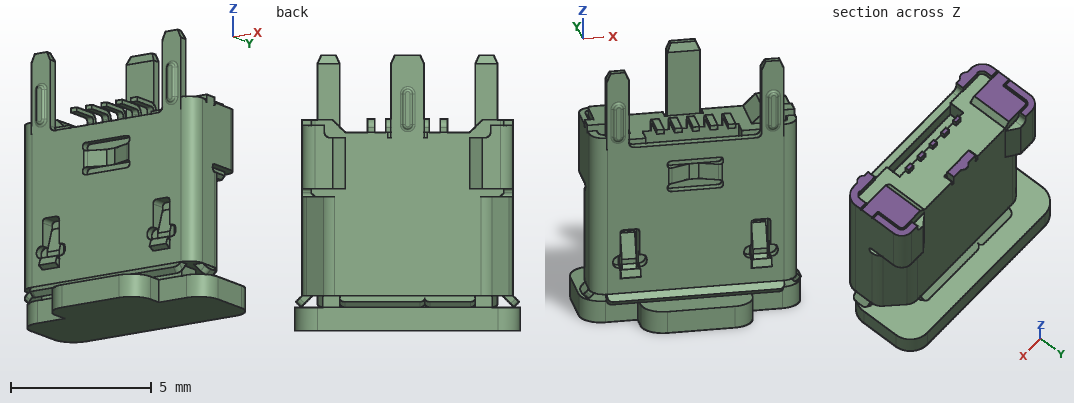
import cadquery as cq
import math


BASE_WIDTH = 8.0
BASE_HEIGHT = 0.83
BASE_BACK = 3.455
BASE_FRONT = 0.355
BASE_CORNER = 0.8
LIP_WIDTH = 4.04
LIP_FRONT = -0.995

FRONT_POST = (3.0, 0.36, 1.24)
BACK_POST = (2.4, 1.59, 2.13)

WALL = 0.325
FRONT_WALL = 0.3
HALF_WIDTH = 3.745
SHELL_BOTTOM = 1.24
SLOT_BOTTOM = 4.75
SHELL_STEP = 5.03
SHELL_TOP = 7.29
LOWER_BACK = 2.46
UPPER_BACK = 2.785
FRONT_CORNER = 0.55
BACK_CORNER = 0.455
BEVEL_START = 1.54
JOG_OUTER = 2.66
JOG_INNER = 2.2
SLOT_FRONT = 1.21
SLOT_ROUND = 0.12
EDGE_CHAMFER = 0.1
RIM_SLOPE = 0.095

NOTCH_FLOOR = 6.85
NOTCH_ROUND = 0.2
FRONT_NOTCH_HALF = 2.4
BACK_NOTCH_HALF = 2.95

DECK = 7.04
BOSS_TOP = 7.48
BOSS_FRONT = 0.83
LUG_BACK = 1.33
RECESS_HALF = 1.735
RECESS_DEPTH = 0.8
TAB_POCKET_HALF = 0.695
TAB_POCKET_FRONT = 2.095
TAB_POCKET_DEPTH = 0.2

TAB_TOP = 9.78
TAB_TAPER = 0.31
TAB_EDGE_INSET = 0.14
TAB_FACE_INSET = 0.11
SIDE_TAB_WIDTH = 0.8
SIDE_TAB_X = 2.8
BACK_TAB_WIDTH = 1.185

RIB_WIDTH = 0.52
RIB_LENGTH = 1.6
RIB_Z = 7.87
RIB_HEIGHT = 0.1
RIB_CREST_WIDTH = 0.17

CONTACT_PITCH = 0.645
CONTACT_COUNT = 5
CONTACT_WIDTH = 0.265
MIDDLE_CONTACT_WIDTH = 0.235
CONTACT_THICK = 0.16
CONTACT_TOP = 7.52
CONTACT_FRONT = -0.14
CONTACT_BACK = 1.065
CONTACT_BEND = 0.3

LATCH_HALF = 1.01
LATCH_SIDE = 0.97
SLIT_HEIGHT = 0.29
SLIT_CENTERS = (5.175, 6.065)
STRIP_EDGE = 0.05
STRIP_SHOULDER = 0.84
STRIP_FLAT = 0.17
STRIP_DEPTH = 0.29

SPRING_X = 2.37
WINDOW_WIDTH = 0.71
WINDOW_TOP = 3.69
WINDOW_BOTTOM = 2.0
WINDOW_ROUND = 0.15
WINDOW_DEPTH = 0.6
EYE_LENGTH = 1.235
EYE_HEIGHT = 0.46
EYE_Z = 2.455
FINGER_WIDTH = 0.52
FINGER_TOP = 3.375
FINGER_TOP_DEPTH = 0.45
FINGER_BEND = 2.48
FINGER_BEND_DEPTH = 0.15
FINGER_FOOT = 2.29
FINGER_FOOT_DEPTH = 0.05
HOOK_REACH = 0.235
HOOK_TIP_TOP = 2.21
HOOK_TIP_BOTTOM = 1.93
HOOK_TIP_LEAN = 0.11
HOOK_BACK_TOP = 2.13
HOOK_BACK_BOTTOM = 1.81

FLARE_ANGLE = 45
FLARE_REACH = 0.305
FLARE_THICK = 0.265
FLARE_ROUND = 0.18
FRONT_FLARE_HALF = 3.2
BACK_FLARE_HALF = 2.4
SEAM_X = -0.615
SIDE_FLARE_Y = (0.58, 1.25)


def block(x_range, y_range, z_range):
    """Box between two values along each axis."""
    low = (x_range[0], y_range[0], z_range[0])
    size = (x_range[1] - x_range[0], y_range[1] - y_range[0], z_range[1] - z_range[0])
    return cq.Workplane("XY").box(*size, centered=False).translate(low)


def side_prism(points, x_center, width):
    """Prism along X from (y, z) points."""
    prism = cq.Workplane("YZ").polyline(points).close().extrude(width / 2, both=True)
    return prism.translate((x_center, 0, 0))


def front_prism(points, y_front, y_back):
    """Prism along Y from (x, z) points."""
    return cq.Workplane("XZ", (0, y_front, 0)).polyline(points).close().extrude(y_front - y_back)


def wall_slot(length, width, y_front, x_center, z_center, depth):
    """Round-ended slot shape lying along X, running from y_front toward +Y."""
    plane = cq.Workplane("XZ", (x_center, y_front, z_center))
    return plane.slot2D(length, width).extrude(-depth)


def mirrored(shape):
    return shape.union(shape.mirror("YZ"))


def base_plate():
    plate = block((-BASE_WIDTH / 2, BASE_WIDTH / 2), (BASE_FRONT, BASE_BACK), (0, BASE_HEIGHT))
    plate = plate.edges("|Z").fillet(BASE_CORNER)
    lip = block((-LIP_WIDTH / 2, LIP_WIDTH / 2), (LIP_FRONT, BASE_FRONT + BASE_CORNER), (0, BASE_HEIGHT))
    lip = lip.edges("|Z and <Y").fillet(BASE_CORNER)
    plate = plate.union(lip)
    for half, front, back in (FRONT_POST, BACK_POST):
        plate = plate.union(block((-half, half), (front, back), (0, SHELL_STEP)))
    return plate


def lower_body():
    """Mouth of the shell: rounded front corners and 45 degree bevels at the back."""
    back_half = HALF_WIDTH - (LOWER_BACK - BEVEL_START)
    outline = [
        (-HALF_WIDTH, 0),
        (HALF_WIDTH, 0),
        (HALF_WIDTH, BEVEL_START),
        (back_half, LOWER_BACK),
        (-back_half, LOWER_BACK),
        (-HALF_WIDTH, BEVEL_START),
    ]
    height = SHELL_STEP - SHELL_BOTTOM
    body = cq.Workplane("XY", (0, 0, SHELL_BOTTOM)).polyline(outline).close().extrude(height)
    body = body.edges("|Z").fillet(FRONT_CORNER)
    core_half = HALF_WIDTH - WALL
    slot_z = (SLOT_BOTTOM, SHELL_STEP)
    slots = block((-HALF_WIDTH, HALF_WIDTH), (SLOT_FRONT, LOWER_BACK), slot_z)
    slots = slots.edges("|X and <Y").fillet(SLOT_ROUND)
    core = block((-core_half, core_half), (SLOT_FRONT, LOWER_BACK), slot_z)
    core = core.faces("<Z").edges("|Y").chamfer((SHELL_STEP - SLOT_BOTTOM) / 2)
    return body.cut(slots).union(core)


def upper_body():
    """Upper shell, its back corners standing out behind the middle."""
    outline = [
        (-HALF_WIDTH, 0),
        (HALF_WIDTH, 0),
        (HALF_WIDTH, UPPER_BACK),
        (JOG_OUTER, UPPER_BACK),
        (JOG_INNER, LOWER_BACK),
        (-JOG_INNER, LOWER_BACK),
        (-JOG_OUTER, UPPER_BACK),
        (-HALF_WIDTH, UPPER_BACK),
    ]
    body = cq.Workplane("XY", (0, 0, SHELL_STEP)).polyline(outline).close().extrude(SHELL_TOP - SHELL_STEP)
    body = body.edges("|Z and <Y").fillet(FRONT_CORNER)
    body = body.edges("|Z and >Y and (>X or <X)").fillet(BACK_CORNER)

    inner = HALF_WIDTH - WALL
    deck = block((-inner, inner), (FRONT_WALL, UPPER_BACK - WALL), (DECK, SHELL_TOP))
    deck = deck.edges("|Z and <Y").fillet(FRONT_CORNER - WALL)
    deck = deck.edges("|Z and >Y").fillet(BACK_CORNER - WALL)
    body = body.cut(deck)
    rim = block(
        (-inner - EDGE_CHAMFER, inner + EDGE_CHAMFER),
        (LUG_BACK, UPPER_BACK - WALL + EDGE_CHAMFER),
        (SHELL_TOP - EDGE_CHAMFER, SHELL_TOP),
    )
    rim = rim.edges("|Z and >Y").fillet(BACK_CORNER - WALL + EDGE_CHAMFER)
    rim = rim.faces("<Z").edges("not <Y").chamfer(RIM_SLOPE)
    body = body.cut(rim)
    for half, front, back in (
        (FRONT_NOTCH_HALF, 0, FRONT_WALL),
        (BACK_NOTCH_HALF, UPPER_BACK - WALL, UPPER_BACK),
    ):
        notch = block((-half, half), (front, back), (NOTCH_FLOOR, SHELL_TOP))
        body = body.cut(notch.edges("|Y and <Z").fillet(NOTCH_ROUND))
    return body


def boss():
    """Left insulator boss with a sloped inner side, the grooves beside its lug, and the lug itself."""
    inner = HALF_WIDTH - WALL
    profile = [
        (-inner, SHELL_STEP),
        (-inner, BOSS_TOP),
        (-JOG_OUTER, BOSS_TOP),
        (-JOG_INNER, DECK),
        (-JOG_INNER, SHELL_STEP),
    ]
    body = front_prism(profile, BOSS_FRONT, UPPER_BACK - WALL)
    body = body.edges("|Z and <X and >Y").fillet(BACK_CORNER - WALL)
    groove = [
        (BOSS_FRONT - EDGE_CHAMFER, SHELL_TOP),
        (LUG_BACK + EDGE_CHAMFER, SHELL_TOP),
        (LUG_BACK, SHELL_TOP - EDGE_CHAMFER),
        (BOSS_FRONT, SHELL_TOP - EDGE_CHAMFER),
    ]
    lug_x = -HALF_WIDTH + WALL / 2
    lug = block((-HALF_WIDTH, -inner), (BOSS_FRONT, LUG_BACK), (SHELL_STEP, BOSS_TOP))
    return body, side_prism(groove, lug_x, WALL), lug


def tab(width, x_center, y_outer, y_inner, bottom):
    """Solder tab, tapered at its tip on both edges and on its inner face."""
    half = width / 2
    shoulder = TAB_TOP - TAB_TAPER
    face = [
        (x_center - half, bottom),
        (x_center + half, bottom),
        (x_center + half, shoulder),
        (x_center + half - TAB_EDGE_INSET, TAB_TOP),
        (x_center - half + TAB_EDGE_INSET, TAB_TOP),
        (x_center - half, shoulder),
    ]
    y_tip = y_inner + math.copysign(TAB_FACE_INSET, y_outer - y_inner)
    edge = [
        (y_outer, bottom),
        (y_outer, TAB_TOP),
        (y_tip, TAB_TOP),
        (y_inner, shoulder),
        (y_inner, bottom),
    ]
    blank = front_prism(face, min(y_outer, y_inner), max(y_outer, y_inner))
    return blank.intersect(side_prism(edge, x_center, width))


def rib_profile(plane, edge, crest):
    """Half section from the centre line outward: flat crest, convex shoulder, concave foot."""
    return (
        plane.moveTo(0, 0)
        .lineTo(0, RIB_HEIGHT)
        .lineTo(crest, RIB_HEIGHT)
        .tangentArcPoint(((crest + edge) / 2, RIB_HEIGHT / 2), relative=False)
        .tangentArcPoint((edge, 0), relative=False)
        .close()
    )


def rib(x_center):
    """Round-ended rib with a smooth S-shaped flank, standing on the plane Y = 0."""
    edge = RIB_WIDTH / 2
    crest = RIB_CREST_WIDTH / 2
    straight = RIB_LENGTH - RIB_WIDTH
    section = cq.Plane((0, 0, 0), (-1, 0, 0), (0, 0, 1))
    half = rib_profile(cq.Workplane(section), edge, crest).extrude(straight / 2, both=True)
    ridge = mirrored(half)
    end = rib_profile(cq.Workplane(section), edge, crest).revolve(360, (0, 0, 0), (0, 1, 0))
    for z_end in (-straight / 2, straight / 2):
        ridge = ridge.union(end.translate((0, 0, z_end)))
    return ridge.translate((x_center, 0, RIB_Z))


def solder_tabs():
    side = tab(SIDE_TAB_WIDTH, -SIDE_TAB_X, 0, WALL, NOTCH_FLOOR)
    side = side.union(rib(-SIDE_TAB_X))
    back = tab(BACK_TAB_WIDTH, 0, LOWER_BACK, LOWER_BACK - WALL, NOTCH_FLOOR - TAB_POCKET_DEPTH)
    back = back.union(rib(0).mirror("XZ").translate((0, LOWER_BACK, 0)))
    return mirrored(side).union(back)


def contact(x_center, width):
    """L-shaped contact rising from the recess and bent toward the front."""
    foot = DECK - RECESS_DEPTH - CONTACT_THICK
    bend_y = CONTACT_BACK - CONTACT_BEND
    bend_z = CONTACT_TOP - CONTACT_BEND
    inner = CONTACT_BEND - CONTACT_THICK
    diagonal = math.sqrt(0.5)
    profile = (
        cq.Workplane("YZ")
        .moveTo(CONTACT_FRONT, CONTACT_TOP)
        .lineTo(bend_y, CONTACT_TOP)
        .threePointArc(
            (bend_y + CONTACT_BEND * diagonal, bend_z + CONTACT_BEND * diagonal), (CONTACT_BACK, bend_z)
        )
        .lineTo(CONTACT_BACK, foot)
        .lineTo(CONTACT_BACK - CONTACT_THICK, foot)
        .lineTo(CONTACT_BACK - CONTACT_THICK, bend_z)
        .threePointArc(
            (bend_y + inner * diagonal, bend_z + inner * diagonal), (bend_y, CONTACT_TOP - CONTACT_THICK)
        )
        .lineTo(CONTACT_FRONT, CONTACT_TOP - CONTACT_THICK)
        .close()
    )
    return profile.extrude(width / 2, both=True).translate((x_center, 0, 0))


def contacts():
    middle = CONTACT_COUNT // 2
    row = contact(0, MIDDLE_CONTACT_WIDTH)
    for step in range(1, middle + 1):
        for x_center in (-step * CONTACT_PITCH, step * CONTACT_PITCH):
            row = row.union(contact(x_center, CONTACT_WIDTH))
    return row


def deck_pockets():
    recess = block(
        (-RECESS_HALF, RECESS_HALF),
        (FRONT_WALL, CONTACT_BACK - CONTACT_THICK),
        (DECK - RECESS_DEPTH, DECK),
    )
    tab_pocket = block(
        (-TAB_POCKET_HALF, TAB_POCKET_HALF),
        (TAB_POCKET_FRONT, LOWER_BACK),
        (DECK - TAB_POCKET_DEPTH, DECK),
    )
    return recess.union(tab_pocket)


def latch_cut():
    """Two slits and, between them, the V-shaped hollow of the pressed-in strip."""
    low, high = SLIT_CENTERS
    hollow = [
        (-LATCH_SIDE, 0),
        (-STRIP_SHOULDER, STRIP_EDGE),
        (-STRIP_FLAT, STRIP_DEPTH),
        (STRIP_FLAT, STRIP_DEPTH),
        (STRIP_SHOULDER, STRIP_EDGE),
        (LATCH_SIDE, 0),
    ]
    cut = cq.Workplane("XY", (0, 0, low)).polyline(hollow).close().extrude(high - low)
    for z_center in SLIT_CENTERS:
        cut = cut.union(wall_slot(2 * LATCH_HALF, SLIT_HEIGHT, 0, 0, z_center, FRONT_WALL))
    return cut


def spring_window():
    half = WINDOW_WIDTH / 2
    window = block((-half, half), (0, WINDOW_DEPTH), (WINDOW_BOTTOM, WINDOW_TOP))
    window = window.edges("|Y and >Z").fillet(WINDOW_ROUND)
    window = window.union(wall_slot(EYE_LENGTH, EYE_HEIGHT, 0, 0, EYE_Z, FRONT_WALL))
    return mirrored(window.translate((-SPRING_X, 0, 0)))


def spring():
    """Spring finger leaning inward toward its top, and the hook that stands out below it."""
    finger = [
        (WINDOW_DEPTH, WINDOW_BOTTOM),
        (FINGER_FOOT_DEPTH, WINDOW_BOTTOM),
        (FINGER_FOOT_DEPTH, HOOK_BACK_TOP),
        (FINGER_BEND_DEPTH, FINGER_FOOT),
        (FINGER_BEND_DEPTH, FINGER_BEND),
        (FINGER_TOP_DEPTH, FINGER_TOP),
        (WINDOW_DEPTH, FINGER_TOP),
    ]
    hook = [
        (WINDOW_DEPTH, HOOK_BACK_BOTTOM),
        (0, HOOK_BACK_BOTTOM),
        (-HOOK_REACH, HOOK_TIP_BOTTOM),
        (-HOOK_REACH + HOOK_TIP_LEAN, HOOK_TIP_TOP),
        (0, HOOK_BACK_TOP),
        (WINDOW_DEPTH, HOOK_BACK_TOP),
    ]
    shape = side_prism(finger, -SPRING_X, FINGER_WIDTH)
    return shape.union(side_prism(hook, -SPRING_X, WINDOW_WIDTH))


def flare(start, end):
    """Flange along X from start to end, bent outward toward -Y about the lower front shell edge."""
    plate = block((start, end), (0, FLARE_THICK), (-FLARE_REACH, FLARE_THICK))
    plate = plate.edges("|Y and <Z").fillet(FLARE_ROUND)
    plate = plate.rotate((0, 0, 0), (1, 0, 0), -FLARE_ANGLE)
    return plate.translate((0, 0, SHELL_BOTTOM))


def flares():
    front = flare(-FRONT_FLARE_HALF, FRONT_FLARE_HALF)
    back = flare(-BACK_FLARE_HALF, SEAM_X).union(flare(SEAM_X, BACK_FLARE_HALF))
    back = back.mirror("XZ").translate((0, LOWER_BACK, 0))
    near, far = SIDE_FLARE_Y
    side = flare(-far, -near).rotate((0, 0, 0), (0, 0, 1), -90)
    side = side.translate((-HALF_WIDTH, 0, 0))
    return front.union(back).union(mirrored(side))


boss_body, boss_groove, boss_lug = boss()
result = lower_body().union(upper_body()).union(base_plate())
result = result.union(mirrored(boss_body)).cut(mirrored(boss_groove)).union(mirrored(boss_lug))
result = result.cut(deck_pockets()).union(solder_tabs()).union(contacts())
result = result.cut(latch_cut()).cut(spring_window()).union(mirrored(spring()))
result = result.union(flares())